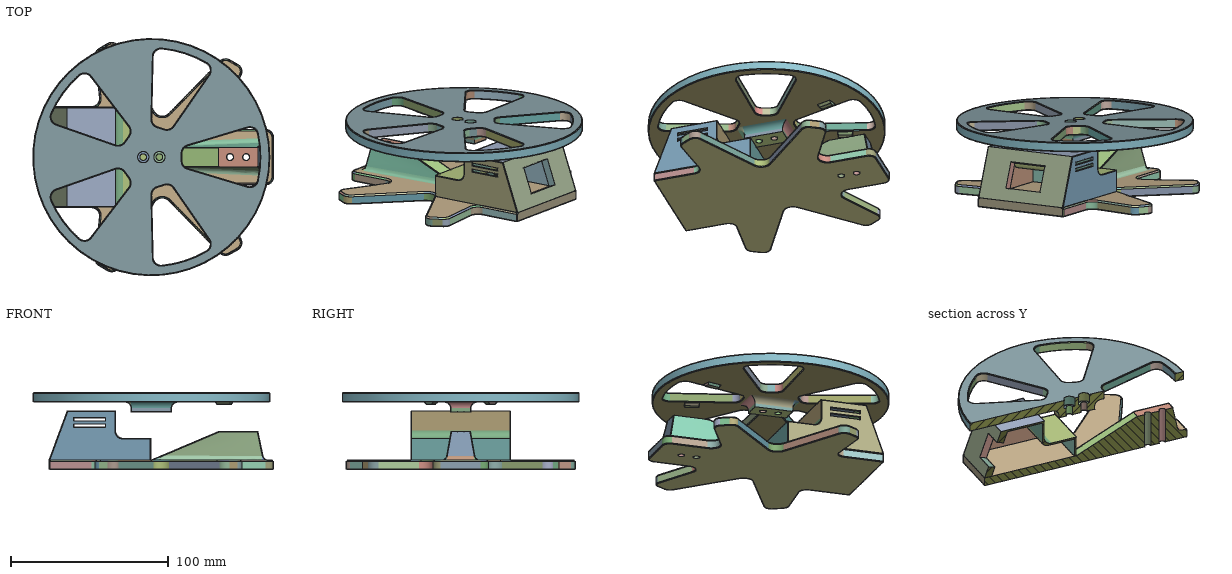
import cadquery as cq
import math

SELECT_MARGIN = 0.1

TOTAL_HEIGHT = 48.7
WHEEL_RADIUS = 75.0
WHEEL_THICKNESS = 6.0
WHEEL_BOTTOM = TOTAL_HEIGHT - WHEEL_THICKNESS
WHEEL_EDGE_CHAMFER = 0.5
WINDOW_COUNT = 5
WINDOW_INNER_X = 19.4
WINDOW_OUTER_RADIUS = 68.8
WINDOW_HALF_ANGLE = 16.7
WINDOW_APEX_X = -1.0
WINDOW_CORNER_RADIUS = 5.0
HUB_LENGTH = 25.4
HUB_WIDTH = 12.7
HUB_HEIGHT = 6.1
HUB_FILLET = 4.0
PAD_CENTER = (46.1, 18.9)
PAD_ROOT_SIZE = (9.6, 6.2)
PAD_TIP_SIZE = (8.6, 3.2)
PAD_HEIGHT = 1.4

SCREW_DIAMETER = 4.2
SCREW_HEAD_DIAMETER = 7.1
SCREW_PITCH = 10.2

PLATE_THICKNESS = 6.0
PLATE_CHAMFER = 1.0
PLATE_BOTTOM_CHAMFER = 0.5
PLATE_CORNER_CHAMFER = 0.5
PLATE_LEFT = -64.7
PLATE_RIGHT = 77.3
PLATE_REAR_WIDTH = 64.0
FRONT_LEG_HALF_WIDTH = 17.5
LEG_CORNER_RADIUS = 5.0
MID_LEG_LINES = (
    ((56.7, 51.8), 62.0),
    ((52.15, 60.05), -30.0),
    ((43.5, 60.8), 45.7),
)
REAR_LEG_LINES = (
    ((-20.8, 70.2), -61.4),
    ((-30.65, 70.1), 30.0),
    ((-35.6, 64.3), 96.0),
)
LEG_CROTCH_RADIUS = 6.0
LEG_CROTCH_REACH = 40.0
SUPPORT_TOP = 24.0
SUPPORT_ROOT_X = (0.0, 71.2)
SUPPORT_ROOT_HALF_WIDTHS = (6.2, 9.4)
SUPPORT_CREST_X = (42.4, 67.4)
SUPPORT_CREST_HALF_WIDTH = 6.2
SUPPORT_FILLET = 3.0
SUPPORT_EDGE_CHAMFER = 0.4
SUPPORT_SCREW_X = 54.9

HOUSING_WIDTH = 63.2
HOUSING_TOP = 37.1
HOUSING_CREST_X = (-53.2, -22.7)
HOUSING_STEP_Z = 19.7
HOUSING_RIGHT = -0.3
HOUSING_STEP_FILLET = 5.0
CAVITY_STEP_FILLET = 4.0
HOUSING_EDGE_CHAMFER = 0.4
HOUSING_WALL = 1.5
HOUSING_FACE_WALL = 5.0
DISPLAY_WIDTH = 25.4
DISPLAY_Z = (13.6, 29.7)
VENT_LENGTH = 20.0
VENT_HEIGHT = 2.0
VENT_CENTER_X = -39.0
VENT_Z = (27.8, 31.8)


def screw_holes(center_x, diameter, bottom, top):
    """Pair of vertical cylinders, one screw pitch apart along X."""
    return (
        cq.Workplane("XY", origin=(center_x, 0, bottom))
        .rarray(SCREW_PITCH, 1, 2, 1)
        .circle(diameter / 2)
        .extrude(top - bottom)
    )


def line_crossing(point_a, angle_a, point_b, angle_b):
    """Point where two lines, each given by a point and a direction in degrees, cross."""
    ax, ay = math.cos(math.radians(angle_a)), math.sin(math.radians(angle_a))
    bx, by = math.cos(math.radians(angle_b)), math.sin(math.radians(angle_b))
    dx, dy = point_b[0] - point_a[0], point_b[1] - point_a[1]
    along = (dx * by - dy * bx) / (ax * by - ay * bx)
    return (point_a[0] + along * ax, point_a[1] + along * ay)


def wheel_window():
    """Wedge-shaped through cut on the +X axis, with rounded corners."""
    slope = math.tan(math.radians(WINDOW_HALF_ANGLE))
    inner_half = slope * (WINDOW_INNER_X - WINDOW_APEX_X)
    outer_half = slope * (WHEEL_RADIUS - WINDOW_APEX_X)
    wedge = (
        cq.Workplane("XY", origin=(0, 0, WHEEL_BOTTOM))
        .polyline([
            (WINDOW_INNER_X, -inner_half),
            (WHEEL_RADIUS, -outer_half),
            (WHEEL_RADIUS, outer_half),
            (WINDOW_INNER_X, inner_half),
        ])
        .close()
        .extrude(WHEEL_THICKNESS)
    )
    rim = (
        cq.Workplane("XY", origin=(0, 0, WHEEL_BOTTOM))
        .circle(WINDOW_OUTER_RADIUS)
        .extrude(WHEEL_THICKNESS)
    )
    return wedge.intersect(rim).edges("|Z").fillet(WINDOW_CORNER_RADIUS)


def wheel_hub():
    """Rectangular boss under the wheel."""
    return (
        cq.Workplane("XY", origin=(0, 0, WHEEL_BOTTOM))
        .rect(HUB_LENGTH, HUB_WIDTH)
        .extrude(-HUB_HEIGHT)
    )


def wheel_pad(side):
    """Small tapered pad under the wheel, parallel to the nearby window edge; side is +1 or -1 along Y."""
    pad = (
        cq.Workplane("XY")
        .rect(*PAD_ROOT_SIZE)
        .workplane(offset=-PAD_HEIGHT)
        .rect(*PAD_TIP_SIZE)
        .loft(ruled=True)
    )
    turn = side * WINDOW_HALF_ANGLE
    pad_x, pad_y = PAD_CENTER
    return pad.rotate((0, 0, 0), (0, 0, 1), turn).translate((pad_x, side * pad_y, WHEEL_BOTTOM))


def build_wheel():
    wheel = cq.Workplane("XY", origin=(0, 0, WHEEL_BOTTOM)).circle(WHEEL_RADIUS).extrude(WHEEL_THICKNESS)
    window = wheel_window()
    for index in range(WINDOW_COUNT):
        wheel = wheel.cut(window.rotate((0, 0, 0), (0, 0, 1), index * 360 / WINDOW_COUNT))
    wheel = wheel.faces("<Z or >Z").edges().chamfer(WHEEL_EDGE_CHAMFER)
    wheel = wheel.union(wheel_hub())
    hub_root = cq.selectors.BoxSelector(
        (-HUB_LENGTH / 2 - SELECT_MARGIN, -HUB_WIDTH / 2 - SELECT_MARGIN, WHEEL_BOTTOM - SELECT_MARGIN),
        (HUB_LENGTH / 2 + SELECT_MARGIN, HUB_WIDTH / 2 + SELECT_MARGIN, WHEEL_BOTTOM + SELECT_MARGIN),
        boundingbox=True,
    )
    wheel = wheel.edges(hub_root).fillet(HUB_FILLET)
    for side in (-1, 1):
        wheel = wheel.union(wheel_pad(side))
    wheel = wheel.cut(screw_holes(0, SCREW_DIAMETER, WHEEL_BOTTOM - HUB_HEIGHT, TOTAL_HEIGHT))
    return wheel.cut(screw_holes(0, SCREW_HEAD_DIAMETER, WHEEL_BOTTOM, TOTAL_HEIGHT))


def plate_outline_half():
    """Corners, before rounding, of the +Y half of the plate, from the +X end round to the -X end."""
    front_side = ((PLATE_RIGHT, FRONT_LEG_HALF_WIDTH), 0)
    housing_side = ((PLATE_LEFT, PLATE_REAR_WIDTH / 2), 0)
    sides = [front_side, *MID_LEG_LINES, *REAR_LEG_LINES, housing_side]
    crossings = [line_crossing(*a, *b) for a, b in zip(sides, sides[1:])]
    return [front_side[0], *crossings, housing_side[0]]


def plate():
    """Flat plate with rounded legs, mirrored about the X axis."""
    half = plate_outline_half()
    mirrored = [(x, -y) for x, y in reversed(half)]
    blank = cq.Workplane("XY").polyline(half + mirrored).close().extrude(PLATE_THICKNESS)
    reach = LEG_CROTCH_REACH
    crotch = cq.selectors.BoxSelector((0, -reach, 0), (reach, reach, PLATE_THICKNESS))
    upright = cq.selectors.StringSyntaxSelector("|Z")
    legs = blank.edges(upright - crotch).edges("not <X").fillet(LEG_CORNER_RADIUS)
    legs = legs.edges("|Z").edges(crotch).fillet(LEG_CROTCH_RADIUS)
    legs = legs.faces("<X").edges("|Z").chamfer(PLATE_CORNER_CHAMFER)
    legs = legs.faces("<Z").edges().chamfer(PLATE_BOTTOM_CHAMFER)
    return legs.faces(">Z").edges("not <X").chamfer(PLATE_CHAMFER)


def support():
    """Wedge rising from the plate to a narrow flat crest."""
    root_left, root_right = SUPPORT_ROOT_X
    half_left, half_right = SUPPORT_ROOT_HALF_WIDTHS
    crest_left, crest_right = SUPPORT_CREST_X
    crest_half = SUPPORT_CREST_HALF_WIDTH
    wedge = (
        cq.Workplane("XY", origin=(0, 0, PLATE_THICKNESS))
        .polyline([
            (root_left, -half_left),
            (root_right, -half_right),
            (root_right, half_right),
            (root_left, half_left),
        ])
        .close()
        .workplane(offset=SUPPORT_TOP - PLATE_THICKNESS)
        .polyline([
            (crest_left, -crest_half),
            (crest_right, -crest_half),
            (crest_right, crest_half),
            (crest_left, crest_half),
        ])
        .close()
        .loft(ruled=True)
    )
    return wedge.edges("not #Z").chamfer(SUPPORT_EDGE_CHAMFER)


def build_base():
    base = plate().union(support())
    ramp_toe_length = 2 * SUPPORT_EDGE_CHAMFER
    root_reach = max(SUPPORT_ROOT_HALF_WIDTHS) + SELECT_MARGIN
    support_root = cq.selectors.BoxSelector(
        (SUPPORT_ROOT_X[0] + ramp_toe_length, -root_reach, PLATE_THICKNESS - SELECT_MARGIN),
        (SUPPORT_ROOT_X[1] + SELECT_MARGIN, root_reach, PLATE_THICKNESS + SELECT_MARGIN),
    )
    base = base.edges(support_root).fillet(SUPPORT_FILLET)
    return base.cut(screw_holes(SUPPORT_SCREW_X, SCREW_DIAMETER, 0, SUPPORT_TOP))


def housing_prism(profile, width, step_fillet):
    """Stepped profile in X and Z, extruded symmetrically along Y, with its inside corner rounded."""
    step_corner = cq.selectors.NearestToPointSelector((profile[3][0], 0, profile[3][1]))
    prism = cq.Workplane("XZ").polyline(profile).close().extrude(width / 2, both=True)
    return prism.edges("|Y").edges(step_corner).fillet(step_fillet)


def housing_shell():
    """Hollow stepped cover, open at the bottom, with a leaning thick front face."""
    crest_left, crest_right = HOUSING_CREST_X
    outer_profile = [
        (PLATE_LEFT, PLATE_THICKNESS),
        (crest_left, HOUSING_TOP),
        (crest_right, HOUSING_TOP),
        (crest_right, HOUSING_STEP_Z),
        (HOUSING_RIGHT, HOUSING_STEP_Z),
        (HOUSING_RIGHT, PLATE_THICKNESS),
    ]
    outer = housing_prism(outer_profile, HOUSING_WIDTH, HOUSING_STEP_FILLET)
    outer = outer.faces("<Y or >Y").edges("not <Z").chamfer(HOUSING_EDGE_CHAMFER)

    lean = (crest_left - PLATE_LEFT) / (HOUSING_TOP - PLATE_THICKNESS)
    face_wall_along_x = HOUSING_FACE_WALL * math.hypot(1, lean)
    cavity_left = PLATE_LEFT + face_wall_along_x
    cavity_profile = [
        (cavity_left, PLATE_THICKNESS),
        (crest_left + face_wall_along_x - HOUSING_WALL * lean, HOUSING_TOP - HOUSING_WALL),
        (crest_right - HOUSING_WALL, HOUSING_TOP - HOUSING_WALL),
        (crest_right - HOUSING_WALL, HOUSING_STEP_Z - HOUSING_WALL),
        (HOUSING_RIGHT - HOUSING_WALL, HOUSING_STEP_Z - HOUSING_WALL),
        (HOUSING_RIGHT - HOUSING_WALL, PLATE_THICKNESS),
    ]
    cavity = housing_prism(cavity_profile, HOUSING_WIDTH - 2 * HOUSING_WALL, CAVITY_STEP_FILLET)
    return outer.cut(cavity)


def display_opening():
    """Rectangular opening through the leaning face, square to that face."""
    rise = HOUSING_TOP - PLATE_THICKNESS
    run = HOUSING_CREST_X[0] - PLATE_LEFT
    middle_z = sum(DISPLAY_Z) / 2
    middle_x = PLATE_LEFT + run * (middle_z - PLATE_THICKNESS) / rise
    slant = math.hypot(rise, run)
    inward = cq.Vector(rise / slant, 0, -run / slant)
    height = (DISPLAY_Z[1] - DISPLAY_Z[0]) * slant / rise
    face = cq.Plane(origin=(middle_x, 0, middle_z), xDir=(0, 1, 0), normal=inward)
    return cq.Workplane(face).rect(DISPLAY_WIDTH, height).extrude(HOUSING_FACE_WALL + HOUSING_WALL)


def build_housing():
    housing = housing_shell().cut(display_opening())
    for vent_z in VENT_Z:
        vent = cq.Workplane("XY").box(VENT_LENGTH, HOUSING_WIDTH, VENT_HEIGHT)
        housing = housing.cut(vent.translate((VENT_CENTER_X, 0, vent_z)))
    return housing


wheel = build_wheel()
base = build_base()
housing = build_housing()

result = cq.Compound.makeCompound([wheel.val(), base.val(), housing.val()])